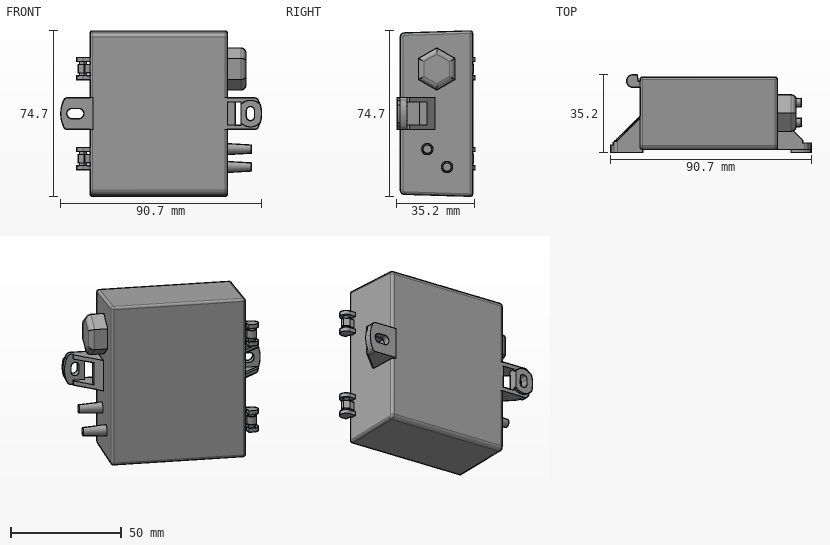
import cadquery as cq
import math

HOUSING_WIDTH = 62.0
HOUSING_DEPTH = 32.7
HOUSING_HEIGHT = 74.8
HEIGHT_DRAFT = 1.0
EDGE_RADIUS = 1.2
FRONT_EDGE_RADIUS = 2.0
SIDE = HOUSING_WIDTH / 2

EAR_HALF_HEIGHT = 7.2
EAR_END_RADIUS = 14.2
EAR_CORNER_RADIUS = 1.8
EAR_OVERLAP = 1.3

LEFT_EAR_TIP = -44.3
LEFT_EAR_FRONT = -1.4
LEFT_EAR_BACK = 2.2
LEFT_SLOT_X = -37.6
LEFT_SLOT_LENGTH = 7.6
LEFT_SLOT_WIDTH = 4.5
LEFT_RIB_END = -43.2
LEFT_RIB_END_BACK = 3.1
LEFT_RIB_TOP = 15.05
LEFT_RIB_THICKNESS = 2.7
LEFT_RIB_CHAMFER = 0.6

RIGHT_EAR_TIP = 46.25
RIGHT_EAR_BACK = 3.0
WINDOW_END = 37.0
WINDOW_HALF_HEIGHT = 5.2
RIGHT_RIB_END = 42.4
RIGHT_RIB_END_BACK = 4.2
RIGHT_RIB_TOP = RIGHT_RIB_END_BACK + RIGHT_RIB_END - SIDE
WEB_END = 34.55
WEB_FRONT = 8.6

PAD_X = 41.35
PAD_RADIUS = 6.0
PAD_TIP = 46.4
PAD_FRONT = -1.4
PAD_SLOT_LENGTH = 6.3
PAD_SLOT_WIDTH = 3.6

HINGE_Z = 20.3
HINGE_X = -34.2
HINGE_Y = 30.9
HINGE_CHEEK_RADIUS = 2.9
HINGE_CHEEK_THICKNESS = 1.9
HINGE_HEIGHT = 10.2
HINGE_NOTCH_TOP_X = -32.3
HINGE_NOTCH_X = -31.7
HINGE_PIN_RADIUS = 1.6
KNUCKLE_RADIUS = 2.2
KNUCKLE_HEIGHT = 3.8
KNUCKLE_WEB_THICKNESS = 1.5
FLAT_START_ANGLE = 200
RIDGE_OFFSET = 0.45

SOCKET_Z = 20.1
SOCKET_Y = 16.5
SOCKET_DIAMETER = 19
SOCKET_END = 39.45
SOCKET_EDGE_RADIUS = 2.45
TUBE_Z = -20.0
TUBE_Y = 16.7
TUBE_PITCH_Y = 8.9
TUBE_PITCH_Z = 8.1
TUBE_END = 41.7
TUBE_BASE_DIAMETER = 5.1
TUBE_TIP_DIAMETER = 3.8


def block(x0, x1, y0, y1, z0, z1):
    return cq.Workplane("XY").box(x1 - x0, y1 - y0, z1 - z0, centered=False).translate((x0, y0, z0))


def along_y(y0, y1):
    """Workplane in X and Z at y0, and the extrusion length that reaches y1."""
    return cq.Workplane("XZ", origin=(0, y0, 0)), y0 - y1


def make_housing():
    back = HOUSING_HEIGHT / 2
    front = back - HEIGHT_DRAFT
    profile = [(0, -front), (HOUSING_DEPTH, -back), (HOUSING_DEPTH, back), (0, front)]
    body = cq.Workplane("YZ", origin=(-SIDE, 0, 0)).polyline(profile).close().extrude(HOUSING_WIDTH)
    body = body.faces("<Y").edges("|X").fillet(FRONT_EDGE_RADIUS)
    return body.faces("<X or >X or >Y").edges().fillet(EDGE_RADIUS)


def ear_blank(inner_x, tip_x, y0, y1):
    """Ear outline with a bowed end and rounded corners."""
    outward = math.copysign(1, tip_x)
    plane, depth = along_y(y0, y1)
    corner_x = tip_x - outward * (EAR_END_RADIUS - math.sqrt(EAR_END_RADIUS**2 - EAR_HALF_HEIGHT**2))
    blank = (
        plane.moveTo(inner_x, -EAR_HALF_HEIGHT)
        .lineTo(corner_x, -EAR_HALF_HEIGHT)
        .threePointArc((tip_x, 0), (corner_x, EAR_HALF_HEIGHT))
        .lineTo(inner_x, EAR_HALF_HEIGHT)
        .close()
        .extrude(depth)
    )
    outer_corners = cq.selectors.BoxSelector(
        (corner_x - 0.1, y0 - 0.9, -EAR_HALF_HEIGHT - 0.9),
        (corner_x + 0.1, y1 + 0.9, EAR_HALF_HEIGHT + 0.9),
    )
    return blank.edges("|Y").edges(outer_corners).fillet(EAR_CORNER_RADIUS)


def rib_plate(inner_x, end_x, front_y, end_y, top_y, z0, z1):
    """Triangular rib between an ear and the side of the housing."""
    top = (math.copysign(SIDE, end_x), top_y)
    outline = [(inner_x, front_y), (end_x, front_y), (end_x, end_y), top, (inner_x, top_y)]
    return cq.Workplane("XY", origin=(0, 0, z0)).polyline(outline).close().extrude(z1 - z0)


def make_left_ear():
    inner_x = -SIDE + EAR_OVERLAP
    ear = ear_blank(inner_x, LEFT_EAR_TIP, LEFT_EAR_FRONT, LEFT_EAR_BACK)
    outline = ear_blank(inner_x, LEFT_EAR_TIP, LEFT_EAR_FRONT, LEFT_RIB_TOP)
    rib = rib_plate(
        inner_x, LEFT_RIB_END, LEFT_EAR_FRONT, LEFT_RIB_END_BACK, LEFT_RIB_TOP,
        EAR_HALF_HEIGHT - LEFT_RIB_THICKNESS, EAR_HALF_HEIGHT,
    )
    slope = cq.selectors.BoxSelector((LEFT_RIB_END, LEFT_RIB_END_BACK, 0), (-SIDE, LEFT_RIB_TOP, 9.1))
    rib = rib.edges(slope).edges("not |Z").chamfer(LEFT_RIB_CHAMFER).intersect(outline)
    ear = ear.union(rib).union(rib.mirror("XY"))
    plane, depth = along_y(LEFT_EAR_FRONT, LEFT_EAR_BACK)
    slot = plane.center(LEFT_SLOT_X, 0).slot2D(LEFT_SLOT_LENGTH, LEFT_SLOT_WIDTH).extrude(depth)
    return ear.cut(slot)


def make_right_ear():
    inner_x = SIDE - EAR_OVERLAP
    ear = ear_blank(inner_x, RIGHT_EAR_TIP, 0, RIGHT_EAR_BACK)
    ear = ear.cut(block(SIDE, WINDOW_END, 0, RIGHT_EAR_BACK, -WINDOW_HALF_HEIGHT, WINDOW_HALF_HEIGHT))
    rib = rib_plate(
        inner_x, RIGHT_RIB_END, 0, RIGHT_RIB_END_BACK, RIGHT_RIB_TOP,
        WINDOW_HALF_HEIGHT, EAR_HALF_HEIGHT,
    )
    web = rib_plate(
        inner_x, RIGHT_RIB_END, 0, RIGHT_RIB_END_BACK, RIGHT_RIB_TOP,
        -WINDOW_HALF_HEIGHT, WINDOW_HALF_HEIGHT,
    )
    web = web.intersect(
        block(inner_x, WEB_END, WEB_FRONT, RIGHT_RIB_TOP, -EAR_HALF_HEIGHT, EAR_HALF_HEIGHT)
    )
    ear = ear.union(rib).union(rib.mirror("XY")).union(web)

    plane, depth = along_y(PAD_FRONT, RIGHT_EAR_BACK)
    pad = plane.center(PAD_X, 0).circle(PAD_RADIUS).extrude(PAD_FRONT)
    end_plane, _ = along_y(PAD_FRONT, RIGHT_EAR_BACK)
    end = end_plane.center(PAD_TIP - EAR_END_RADIUS, 0).circle(EAR_END_RADIUS).extrude(PAD_FRONT)
    pad = pad.intersect(end).intersect(
        block(WINDOW_END, PAD_TIP, PAD_FRONT, RIGHT_EAR_BACK, -PAD_RADIUS, PAD_RADIUS)
    )
    slot_plane, _ = along_y(PAD_FRONT, RIGHT_EAR_BACK)
    slot = slot_plane.center(PAD_X, 0).slot2D(PAD_SLOT_LENGTH, PAD_SLOT_WIDTH, 90).extrude(depth)
    return ear.union(pad).cut(slot)


def snap_profile(plane, radius):
    """Round back with two flats meeting in a ridge towards -Y."""
    angle = math.radians(FLAT_START_ANGLE)
    left = (HINGE_X + radius * math.cos(angle), HINGE_Y + radius * math.sin(angle))
    ridge = (HINGE_X + RIDGE_OFFSET, HINGE_Y - radius)
    right = (HINGE_X + radius, HINGE_Y)
    return (
        plane.moveTo(*left)
        .lineTo(*ridge)
        .lineTo(*right)
        .threePointArc((HINGE_X, HINGE_Y + radius), left)
        .close()
    )


def make_hinge(center_z):
    inner_x = -SIDE + EDGE_RADIUS
    bottom = center_z - HINGE_HEIGHT / 2
    knuckle_bottom = center_z - KNUCKLE_HEIGHT / 2
    knuckle_top = center_z + KNUCKLE_HEIGHT / 2

    def level(z):
        return cq.Workplane("XY", origin=(0, 0, z))

    hinge = snap_profile(level(bottom), HINGE_PIN_RADIUS).extrude(HINGE_HEIGHT)
    hinge = hinge.union(snap_profile(level(knuckle_bottom), KNUCKLE_RADIUS).extrude(KNUCKLE_HEIGHT))
    web_front = HINGE_Y - KNUCKLE_WEB_THICKNESS
    hinge = hinge.union(block(HINGE_X, inner_x, web_front, HINGE_Y, knuckle_bottom, knuckle_top))
    for z in (bottom, bottom + HINGE_HEIGHT - HINGE_CHEEK_THICKNESS):
        cheek = (
            level(z)
            .moveTo(HINGE_X, HINGE_Y + HINGE_CHEEK_RADIUS)
            .threePointArc((HINGE_X - HINGE_CHEEK_RADIUS, HINGE_Y), (HINGE_X, HINGE_Y - HINGE_CHEEK_RADIUS))
            .lineTo(inner_x, HINGE_Y - HINGE_CHEEK_RADIUS)
            .lineTo(inner_x, HINGE_Y)
            .lineTo(HINGE_NOTCH_X, HINGE_Y)
            .lineTo(HINGE_NOTCH_TOP_X, HINGE_Y + HINGE_CHEEK_RADIUS)
            .close()
            .extrude(HINGE_CHEEK_THICKNESS)
        )
        hinge = hinge.union(cheek)
    return hinge


def make_socket():
    plane = cq.Workplane("YZ", origin=(SIDE, SOCKET_Y, SOCKET_Z)).transformed(rotate=(0, 0, 90))
    socket = plane.polygon(6, SOCKET_DIAMETER).extrude(SOCKET_END - SIDE)
    return socket.faces(">X").edges().fillet(SOCKET_EDGE_RADIUS)


def make_tube(y, z):
    return (
        cq.Workplane("YZ", origin=(SIDE, y, z))
        .circle(TUBE_BASE_DIAMETER / 2)
        .workplane(offset=TUBE_END - SIDE)
        .circle(TUBE_TIP_DIAMETER / 2)
        .loft()
    )


result = make_housing().union(make_left_ear()).union(make_right_ear()).union(make_socket())
for side in (-1, 1):
    result = result.union(make_hinge(side * HINGE_Z))
    tube_y = TUBE_Y - side * TUBE_PITCH_Y / 2
    tube_z = TUBE_Z + side * TUBE_PITCH_Z / 2
    result = result.union(make_tube(tube_y, tube_z))